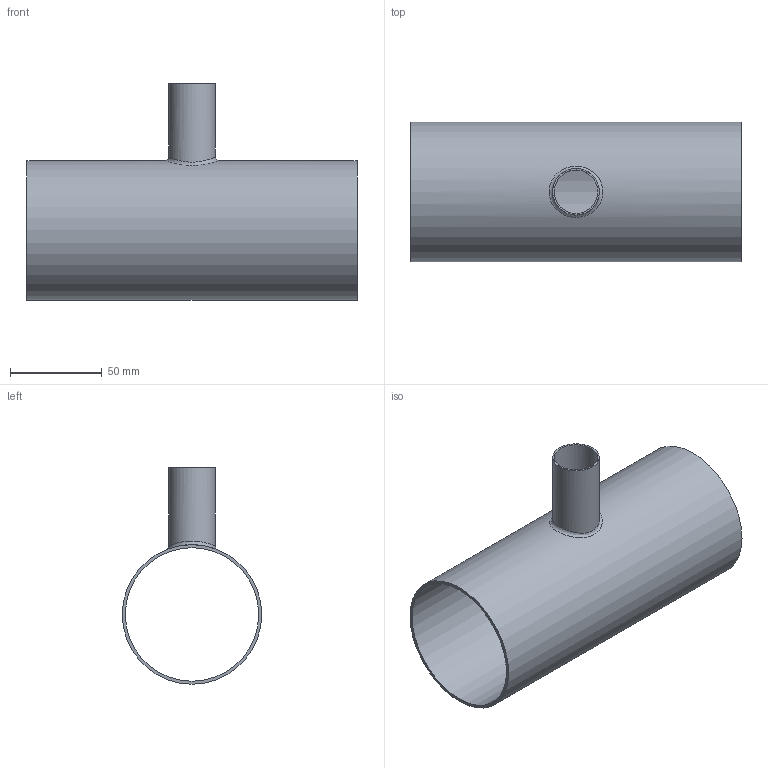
import cadquery as cq

MAIN_LENGTH = 180.0
MAIN_OUTER_DIAMETER = 76.1
MAIN_INNER_DIAMETER = 72.8

BRANCH_TOP = 80.0
BRANCH_OUTER_DIAMETER = 25.4
BRANCH_INNER_DIAMETER = 23.75

NECK_FILLET_RADIUS = 2.0

NECK_ZONE_TOP = (MAIN_OUTER_DIAMETER / 2 + BRANCH_TOP) / 2


def main_cylinder(diameter):
    """Cylinder along X over the full length of the main pipe."""
    return cq.Workplane("YZ").circle(diameter / 2).extrude(MAIN_LENGTH / 2, both=True)


def branch_cylinder(diameter):
    """Cylinder along Z from the main pipe's axis to the end of the branch."""
    return cq.Workplane("XY").circle(diameter / 2).extrude(BRANCH_TOP)


def filleted_tee():
    """Solid tee with a rounded neck where the branch meets the main pipe."""
    tee = main_cylinder(MAIN_OUTER_DIAMETER).union(branch_cylinder(BRANCH_OUTER_DIAMETER))
    neck_zone = cq.selectors.BoxSelector(
        (-BRANCH_OUTER_DIAMETER, -BRANCH_OUTER_DIAMETER, 0),
        (BRANCH_OUTER_DIAMETER, BRANCH_OUTER_DIAMETER, NECK_ZONE_TOP),
        boundingbox=True,
    )
    return tee.edges(neck_zone).fillet(NECK_FILLET_RADIUS)


bores = main_cylinder(MAIN_INNER_DIAMETER).union(branch_cylinder(BRANCH_INNER_DIAMETER))
result = filleted_tee().cut(bores)